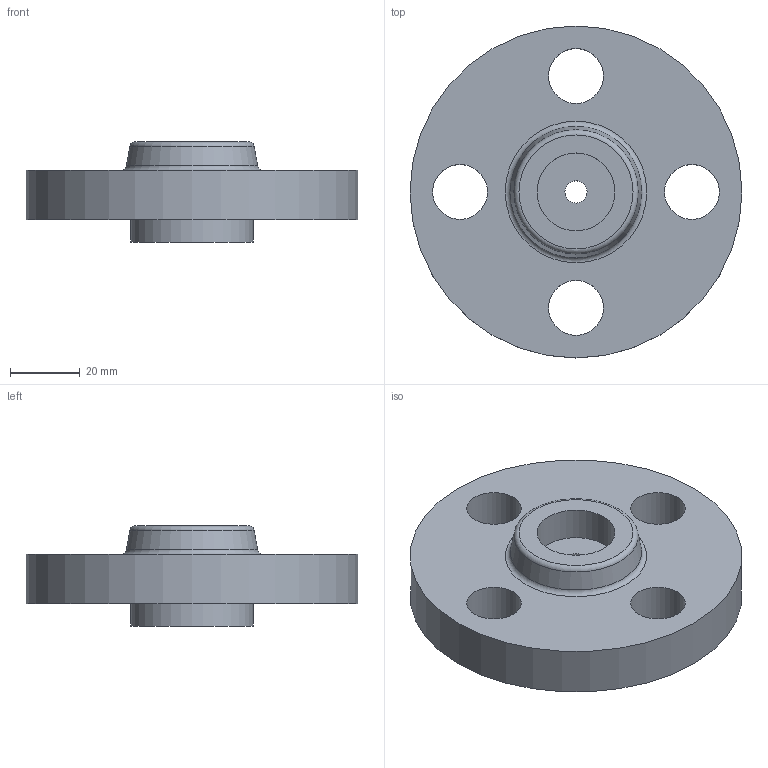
import cadquery as cq
import math

INCH = 25.4

disc_diameter = 3.75 * INCH
disc_thickness = 0.56 * INCH
face_diameter = 1.38 * INCH
face_height = 0.25 * INCH

hub_base_diameter = 1.50 * INCH
hub_overall_length = 0.88 * INCH
hub_taper_degrees = 10.0
hub_fillet_radius = 1.5

socket_diameter = 0.88 * INCH
socket_depth = 0.38 * INCH
bore_diameter = 0.252 * INCH

bolt_count = 4
bolt_circle_diameter = 2.62 * INCH
bolt_hole_diameter = 0.62 * INCH

disc_top = face_height + disc_thickness
hub_height = hub_overall_length - disc_thickness
hub_top = disc_top + hub_height
hub_base_radius = hub_base_diameter / 2
hub_top_radius = hub_base_radius - hub_height * math.tan(math.radians(hub_taper_degrees))


def flange_body():
    """Raised face, disc and tapered hub, revolved as one profile."""
    profile = (
        cq.Workplane("XZ")
        .moveTo(0, 0)
        .lineTo(face_diameter / 2, 0)
        .lineTo(face_diameter / 2, face_height)
        .lineTo(disc_diameter / 2, face_height)
        .lineTo(disc_diameter / 2, disc_top)
        .lineTo(hub_base_radius, disc_top)
        .lineTo(hub_top_radius, hub_top)
        .lineTo(0, hub_top)
        .close()
    )
    return profile.revolve(360, (0, 0, 0), (0, 1, 0))


def round_hub(body):
    """Round the hub's top rim and its junction with the disc."""
    return body.faces("%CONE").edges("%CIRCLE").fillet(hub_fillet_radius)


def cut_socket_and_bore(body):
    """Sink the pipe socket from the hub top and carry the bore through."""
    body = body.faces(">Z").workplane(origin=(0, 0, hub_top)).hole(socket_diameter, socket_depth)
    return body.faces(">Z").workplane(origin=(0, 0, hub_top)).hole(bore_diameter)


def cut_bolt_holes(body):
    """Drill the bolt holes, evenly spaced and starting on the X axis."""
    drills = (
        cq.Workplane("XY", origin=(0, 0, face_height))
        .polarArray(bolt_circle_diameter / 2, 0, 360, bolt_count)
        .circle(bolt_hole_diameter / 2)
        .extrude(disc_thickness)
    )
    return body.cut(drills)


result = cut_bolt_holes(cut_socket_and_bore(round_hub(flange_body())))